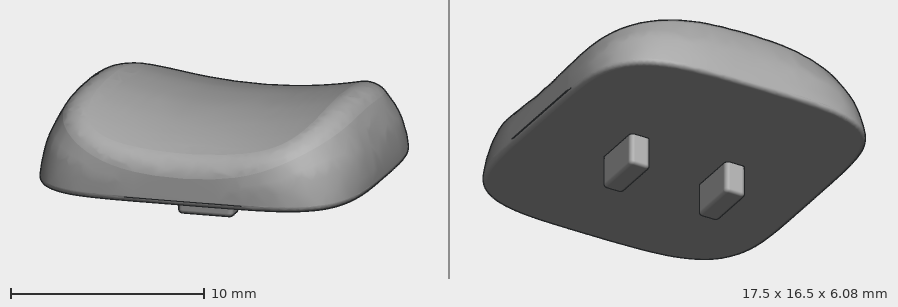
import cadquery as cq
import math

BODY_LENGTH = 17.47
BODY_WIDTH = 16.47

FOOT_EXPONENT_X = 5.0
FOOT_EXPONENT_Y = 3.7
TOP_EXPONENT_X = 2.6
TOP_EXPONENT_Y = 2.5
POINTS_PER_QUARTER = 10

RIM_HEIGHT = 0.3
RIM_ROUND = 0.25

WALL_RADIUS = 6.0
WALL_LEAN = 54.0
WALL_SECTIONS = 7

SADDLE_HEIGHT = 3.55
HOLLOW_RADIUS = 25.5
CROWN_RADIUS = 25.15
TOP_ROUND = 1.4
CUTTER_MARGIN = 0.87

LEG_LENGTH = 2.97
LEG_THICKNESS = 1.19
LEG_DROP = 1.78
LEG_SPACING = 5.7
LEG_CORNER_ROUND = 0.25
LEG_END_ROUND = 0.2
LEG_OVERLAP = 0.7


def quarter_point(t, half_length, half_width, exponent_x, exponent_y):
    """Point on the first-quadrant outline, from the X axis at t = 0 to the Y axis at t = 1."""
    if t < 0.5:
        y_share = 0.5 * (2 * t) ** exponent_y
    else:
        y_share = 1 - 0.5 * (2 - 2 * t) ** exponent_x
    x = half_length * (1 - y_share) ** (1 / exponent_x)
    y = half_width * y_share ** (1 / exponent_y)
    return x, y


def outline(inset, height, rise):
    """Closed outline pulled in by inset at a height; rise goes from 0 at the foot to 1 on top."""
    half_length = BODY_LENGTH / 2 - inset
    half_width = BODY_WIDTH / 2 - inset
    exponent_x = FOOT_EXPONENT_X + rise * (TOP_EXPONENT_X - FOOT_EXPONENT_X)
    exponent_y = FOOT_EXPONENT_Y + rise * (TOP_EXPONENT_Y - FOOT_EXPONENT_Y)
    quarter = [
        quarter_point(i / POINTS_PER_QUARTER, half_length, half_width, exponent_x, exponent_y)
        for i in range(POINTS_PER_QUARTER + 1)
    ]
    upper_half = quarter + [(-x, y) for x, y in quarter[-2::-1]]
    lower_half = [(-x, -y) for x, y in upper_half[1:-1]]
    points = [cq.Vector(x, y, height) for x, y in upper_half + lower_half]
    return cq.Wire.assembleEdges([cq.Edge.makeSpline(points, periodic=True)])


def make_rim():
    """Straight band at the foot with its underside edge rounded."""
    rim = cq.Workplane("XY").add(outline(0, 0, 0)).toPending().extrude(RIM_HEIGHT)
    return rim.faces("<Z").edges().fillet(RIM_ROUND)


def make_wall():
    """Dome with an arc-shaped side wall, taller than the finished body."""
    sections = []
    for i in range(WALL_SECTIONS):
        rise = i / (WALL_SECTIONS - 1)
        lean = math.radians(WALL_LEAN) * rise
        inset = WALL_RADIUS * (1 - math.cos(lean))
        sections.append(outline(inset, RIM_HEIGHT + WALL_RADIUS * math.sin(lean), rise))
    return cq.Workplane(cq.Solid.makeLoft(sections))


def make_saddle_cutter():
    """Block whose underside is the saddle: the hollow arc carried along the crown arc."""
    reach = BODY_LENGTH / 2 + CUTTER_MARGIN
    block_height = BODY_LENGTH / 2
    crown_drop = CROWN_RADIUS - math.sqrt(CROWN_RADIUS**2 - reach**2)
    hollow_rise = HOLLOW_RADIUS - math.sqrt(HOLLOW_RADIUS**2 - reach**2)
    end_height = SADDLE_HEIGHT - crown_drop
    crown = (
        cq.Workplane("YZ")
        .moveTo(-reach, end_height)
        .threePointArc((0, SADDLE_HEIGHT), (reach, end_height))
    )
    return (
        cq.Workplane("XZ", origin=(0, -reach, end_height))
        .moveTo(-reach, hollow_rise)
        .threePointArc((0, 0), (reach, hollow_rise))
        .lineTo(reach, block_height)
        .lineTo(-reach, block_height)
        .close()
        .sweep(crown)
    )


def make_body():
    """Dome hollowed by the saddle, its top edge rounded, standing on the foot band."""
    dome = make_wall().cut(make_saddle_cutter())
    dome = dome.faces(">Z").edges().fillet(TOP_ROUND)
    return dome.union(make_rim())


def make_leg(y):
    """Clip leg reaching up into the body, with rounded upright and bottom edges."""
    height = LEG_DROP + LEG_OVERLAP
    leg = cq.Workplane("XY").box(LEG_LENGTH, LEG_THICKNESS, height)
    leg = leg.edges("|Z").fillet(LEG_CORNER_ROUND).faces("<Z").edges().fillet(LEG_END_ROUND)
    return leg.translate((0, y, height / 2 - LEG_DROP))


result = make_body()
for side in (-1, 1):
    result = result.union(make_leg(side * LEG_SPACING / 2))